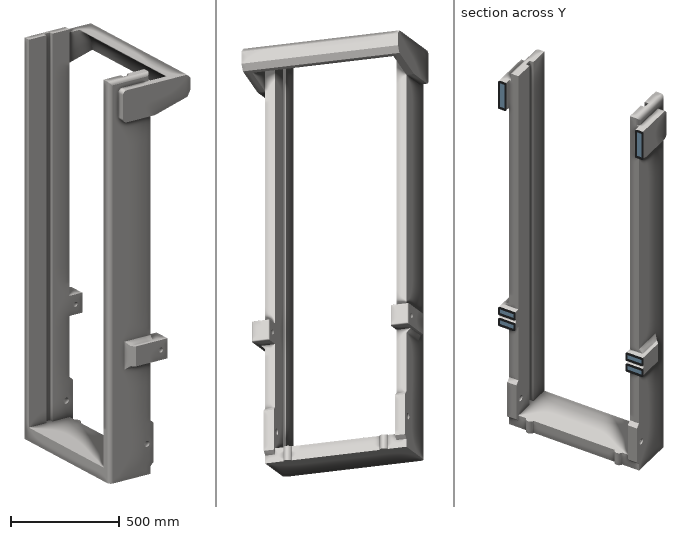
import cadquery as cq
import math


height = 2000.0
post_outer_x = 352.0
post_thickness = 50.0
post_inner_x = post_outer_x - post_thickness
post_depth = 230.0

round_width = 15.0
round_radius = 22.0

groove_front_y = 98.0
groove_width = 35.0
groove_depth = 20.0

plate_thickness = 68.0
bump_x = 240.0
bump_width = 42.0
bump_height = 15.0

lip_height = 18.0
lip_bottom_z = 38.0
lip_top_z = 268.0
foot_hole_diameter = 30.0
foot_hole_y = 210.0
foot_hole_z = 155.0

handle_outer_x = 390.0
handle_front_y = 50.0
handle_back_y = 430.0
handle_bottom_z = 1800.0
handle_top_z = 1960.0
arm_corner_radius = 20.0
crossbar_front_y = 322.0
crossbar_chamfer = 20.0
slope_end_y = 412.0
slope_end_z = 1850.0
crossbar_back_bottom_z = 1882.0
cove_radius = 120.0
cove_center_y = 272.0
cove_center_z = 1848.0

bracket_back_y = 305.0
bracket_front_y = 85.0
bracket_bottom_z = 572.0
bracket_height = 100.0
bracket_top_z = bracket_bottom_z + bracket_height
bracket_edge_radius = 5.0
bracket_flare = 20.0
bracket_hole_diameter = 25.0
bracket_hole_y = 262.0

bracket_reach = handle_outer_x - post_outer_x


def box(x_range, y_range, z_range):
    """Axis-aligned box between the given limits."""
    size = [high - low for low, high in (x_range, y_range, z_range)]
    corner = (x_range[0], y_range[0], z_range[0])
    return cq.Workplane("XY").box(*size, centered=False).translate(corner)


def side_prism(points, x_start, x_end):
    """Extrude a closed outline of (y, z) points along X."""
    outline = cq.Workplane("YZ", origin=(x_start, 0, 0)).polyline(points).close()
    return outline.extrude(x_end - x_start)


def cross_hole(y, z, diameter):
    """Cylinder along X that passes through the whole right half."""
    return cq.Workplane("YZ").center(y, z).circle(diameter / 2).extrude(handle_outer_x)


def edge_rounding(plane, corner, inward, length):
    """Sliver to cut off an outer post edge; inward (+1 or -1) points into the post."""
    x, v = corner
    chord = round_width * math.sqrt(2)
    bulge = round_radius - math.sqrt(round_radius**2 - (chord / 2) ** 2)
    middle_offset = round_width / 2 - bulge / math.sqrt(2)
    middle = (x - middle_offset, v + inward * middle_offset)
    sliver = cq.Workplane(plane).moveTo(x, v).lineTo(x - round_width, v)
    sliver = sliver.threePointArc(middle, (x, v + inward * round_width))
    return sliver.close().extrude(length)


def make_post():
    """Right-hand post: rounded outer edges, inner groove and foot lip."""
    front_corner = (post_outer_x, 0)
    back_corner = (post_outer_x, post_depth)
    top_corner = (post_outer_x, height)
    front_rounding = edge_rounding("XY", front_corner, 1, height)
    top_rounding = edge_rounding("XZ", top_corner, -1, -post_depth)
    back_rounding = edge_rounding("XY", back_corner, -1, height - handle_top_z)
    post = box((post_inner_x, post_outer_x), (0, post_depth), (0, height))
    post = post.cut(front_rounding).cut(top_rounding)
    post = post.cut(back_rounding.translate((0, 0, handle_top_z)))
    groove = box(
        (post_inner_x, post_inner_x + groove_depth),
        (groove_front_y, groove_front_y + groove_width),
        (0, height),
    )
    lip_back_y = post_depth + lip_height
    lip = side_prism(
        [
            (post_depth, lip_bottom_z),
            (lip_back_y, lip_bottom_z + lip_height),
            (lip_back_y, lip_top_z - lip_height),
            (post_depth, lip_top_z),
        ],
        post_inner_x,
        post_outer_x,
    )
    return post.cut(groove).union(lip)


def make_bottom_plate():
    """Right half of the plate joining the posts, with its bump."""
    plate = box((0, post_inner_x + groove_depth), (0, post_depth), (0, plate_thickness))
    bump = (
        cq.Workplane("XY")
        .moveTo(bump_x - bump_width / 2, post_depth)
        .threePointArc(
            (bump_x, post_depth + bump_height), (bump_x + bump_width / 2, post_depth)
        )
        .close()
        .extrude(plate_thickness)
    )
    return plate.union(bump)


def make_handle():
    """Right half of the handle: side arm and coved crossbar."""
    body = side_prism(
        [
            (handle_front_y, handle_bottom_z),
            (post_depth, handle_bottom_z),
            (slope_end_y, slope_end_z),
            (handle_back_y, crossbar_back_bottom_z),
            (handle_back_y, handle_top_z),
            (handle_front_y, handle_top_z),
        ],
        0,
        handle_outer_x,
    )
    body = body.edges("|X and <Y").fillet(arm_corner_radius)
    body = body.edges("|X and >Y and >Z").chamfer(crossbar_chamfer)
    opening = box((0, post_outer_x), (0, crossbar_front_y), (handle_bottom_z, handle_top_z))
    cove = cq.Workplane("YZ").center(cove_center_y, cove_center_z).circle(cove_radius)
    cove = cove.extrude(post_outer_x)
    cove_floor = box(
        (0, post_outer_x),
        (0, cove_center_y + cove_radius),
        (handle_bottom_z, cove_center_z),
    )
    return body.cut(opening).cut(cove).cut(cove_floor)


def make_bracket():
    """Right-hand bracket: block behind the post, running onto its outer face."""
    block = box(
        (post_inner_x, handle_outer_x),
        (post_depth, bracket_back_y),
        (bracket_bottom_z, bracket_top_z),
    )
    block = block.faces(">Y").edges().fillet(bracket_edge_radius)
    side = box(
        (post_outer_x, handle_outer_x),
        (bracket_front_y, post_depth),
        (bracket_bottom_z, bracket_top_z),
    )
    flare = (
        cq.Workplane("XZ", origin=(0, bracket_front_y, 0))
        .moveTo(post_outer_x, bracket_bottom_z - bracket_flare)
        .lineTo(post_outer_x + bracket_flare, bracket_bottom_z)
        .lineTo(post_outer_x + bracket_flare, bracket_top_z)
        .lineTo(post_outer_x, bracket_top_z + bracket_flare)
        .close()
        .extrude(bracket_front_y - post_depth)
    )
    front_slope = (
        cq.Workplane("XY")
        .moveTo(post_outer_x, bracket_front_y)
        .lineTo(handle_outer_x, bracket_front_y)
        .lineTo(handle_outer_x, bracket_front_y + bracket_reach)
        .close()
        .extrude(height)
    )
    return block.union(side.union(flare).cut(front_slope))


bracket_hole_z = (bracket_bottom_z + bracket_top_z) / 2

half = make_post().union(make_bottom_plate()).union(make_handle()).union(make_bracket())
half = half.cut(cross_hole(foot_hole_y, foot_hole_z, foot_hole_diameter))
half = half.cut(cross_hole(bracket_hole_y, bracket_hole_z, bracket_hole_diameter))

result = half.union(half.mirror("YZ"))